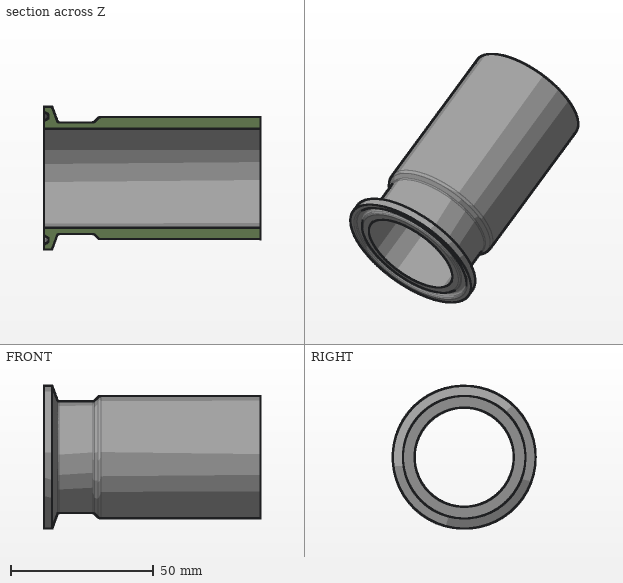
import cadquery as cq
import math

length = 76.2
bore_radius = 34.8 / 2
neck_radius = 39.4 / 2
body_radius = 43.1 / 2
flange_radius = 50.4 / 2

rim_width = 2.9
back_angle = math.radians(20)
back_fillet = 0.5

shoulder_start = 17.5
shoulder_foot_fillet = 0.8
shoulder_top_fillet = 1.5

groove_centre_radius = 21.8
groove_depth = 1.6
groove_wall_angle = math.radians(67.5)
groove_floor_radius = 1.15
groove_lip_radius = 0.6


def ring_edge(x, radius):
    """Selector for the circular edge of the given radius at station x."""
    margin = 0.04
    return cq.selectors.BoxSelector(
        (x - margin, -radius - margin, -radius - margin),
        (x + margin, radius + margin, radius + margin),
        boundingbox=True,
    )


def revolve_about_x(profile):
    return profile.revolve(360, (0, 0, 0), (1, 0, 0))


def make_tube():
    back_end = rim_width + (flange_radius - neck_radius) * math.tan(back_angle)
    shoulder_end = shoulder_start + body_radius - neck_radius
    profile = (
        cq.Workplane("XY")
        .moveTo(0, bore_radius)
        .lineTo(0, flange_radius)
        .lineTo(rim_width, flange_radius)
        .lineTo(back_end, neck_radius)
        .lineTo(shoulder_start, neck_radius)
        .lineTo(shoulder_end, body_radius)
        .lineTo(length, body_radius)
        .lineTo(length, bore_radius)
        .close()
    )
    tube = revolve_about_x(profile)
    for x, radius, fillet in (
        (back_end, neck_radius, back_fillet),
        (shoulder_start, neck_radius, shoulder_foot_fillet),
        (shoulder_end, body_radius, shoulder_top_fillet),
    ):
        tube = tube.edges(ring_edge(x, radius)).fillet(fillet)
    return tube


def make_groove():
    """Round-bottomed groove with straight tapered walls and lips rounded onto the flange face."""
    sine = math.sin(groove_wall_angle)
    cosine = math.cos(groove_wall_angle)
    half_sine = math.sin(groove_wall_angle / 2)
    half_cosine = math.cos(groove_wall_angle / 2)

    wall_top_x = groove_lip_radius * (1 - cosine)
    wall_foot_x = groove_depth - groove_floor_radius * (1 - cosine)

    wall_foot = groove_floor_radius * sine
    wall_top = wall_foot + (wall_foot_x - wall_top_x) * cosine / sine
    lip_start = wall_top + groove_lip_radius * sine

    lip_mid_x = groove_lip_radius * (1 - half_cosine)
    lip_mid = lip_start - groove_lip_radius * half_sine

    centre = groove_centre_radius
    profile = (
        cq.Workplane("XY")
        .moveTo(0, centre - lip_start)
        .threePointArc((lip_mid_x, centre - lip_mid), (wall_top_x, centre - wall_top))
        .lineTo(wall_foot_x, centre - wall_foot)
        .threePointArc((groove_depth, centre), (wall_foot_x, centre + wall_foot))
        .lineTo(wall_top_x, centre + wall_top)
        .threePointArc((lip_mid_x, centre + lip_mid), (0, centre + lip_start))
        .close()
    )
    return revolve_about_x(profile)


result = make_tube().cut(make_groove())